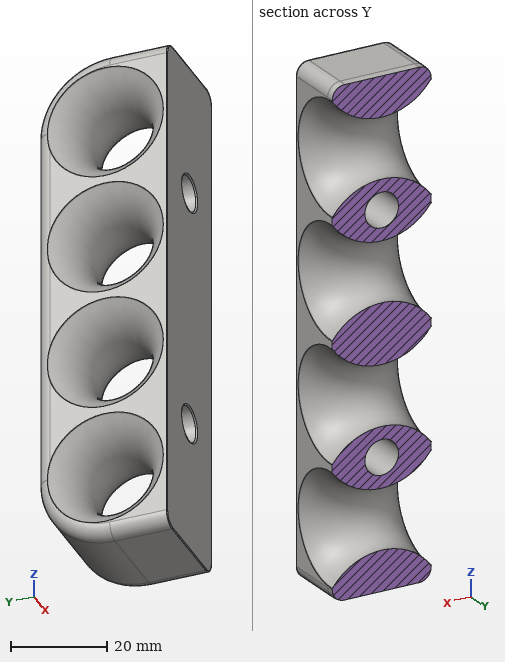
import cadquery as cq
thickness = 24.0
depth = 29.5
end_radius = 16.5
edge_fillet = 3.0
mount_edge_chamfer = 0.2

hole_count = 4
hole_pitch = 28.0
hole_center_y = 14.0
throat_radius = 7.0
mouth_radius = 13.0
mouth_chamfer = 0.1
cutter_overrun = 1.0

screw_hole_radius = 4.0
screw_hole_chamfer = 0.3

length = (hole_count - 1) * hole_pitch + 2 * end_radius
half_length = length / 2
half_thickness = thickness / 2
screw_hole_z = (hole_count / 2 - 1) * hole_pitch


def make_block():
    """Bar with two rounded corners on its +Y side and filleted side outlines."""
    profile = (
        cq.Workplane("YZ")
        .moveTo(0, -half_length)
        .lineTo(depth - end_radius, -half_length)
        .radiusArc((depth, -half_length + end_radius), -end_radius)
        .lineTo(depth, half_length - end_radius)
        .radiusArc((depth - end_radius, half_length), -end_radius)
        .lineTo(0, half_length)
        .close()
    )
    block = profile.extrude(half_thickness, both=True)
    side_outlines = block.faces("<X or >X").edges("not(<Y)").vals()
    block = block.newObject(side_outlines).fillet(edge_fillet)
    return block.faces("<Y").edges().chamfer(mount_edge_chamfer)


def make_hourglass(center_z):
    """Solid of revolution along X, narrowest at mid thickness.

    The 45 degree mouth chamfers run on past the block faces, and the
    seam of the revolution lies on the -Y side, clear of the edge fillets.
    """
    mouth_x = half_thickness - mouth_chamfer
    end_x = half_thickness + cutter_overrun
    end_rim_radius = mouth_radius + mouth_chamfer + cutter_overrun
    return (
        cq.Workplane("XY")
        .moveTo(-end_x, 0)
        .lineTo(-end_x, -end_rim_radius)
        .lineTo(-mouth_x, -mouth_radius)
        .threePointArc((0, -throat_radius), (mouth_x, -mouth_radius))
        .lineTo(end_x, -end_rim_radius)
        .lineTo(end_x, 0)
        .close()
        .revolve(360, (0, 0, 0), (1, 0, 0))
        .translate((0, hole_center_y, center_z))
    )


def make_screw_hole(center_z):
    """Straight hole through the depth, chamfered at the mounting face."""
    return (
        cq.Workplane("XY")
        .lineTo(screw_hole_radius + screw_hole_chamfer, 0)
        .lineTo(screw_hole_radius, screw_hole_chamfer)
        .lineTo(screw_hole_radius, depth)
        .lineTo(0, depth)
        .close()
        .revolve(360, (0, 0, 0), (0, 1, 0))
        .translate((0, 0, center_z))
    )


result = make_block()
first_hole_z = -(hole_count - 1) * hole_pitch / 2
for index in range(hole_count):
    result = result.cut(make_hourglass(first_hole_z + index * hole_pitch))
for screw_z in (-screw_hole_z, screw_hole_z):
    result = result.cut(make_screw_hole(screw_z))